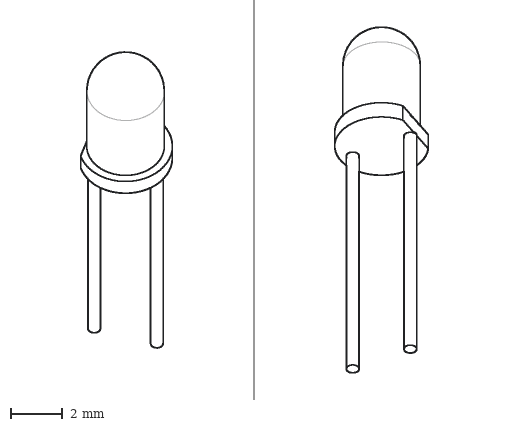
import cadquery as cq

total_height = 15.97
lens_diameter = 3.0
flange_diameter = 3.63
flange_thickness = 0.7
flat_offset = 1.5
lead_diameter = 0.5
lead_pitch = 2.54
flange_base = 10.51
lead_seat_depth = 0.05

lens_radius = lens_diameter / 2
flange_radius = flange_diameter / 2
lead_length = flange_base + lead_seat_depth
dome_base = total_height - lens_radius


def make_lens():
    """Dome-topped cylinder on a flange, revolved about Z, with a flat on the -X side."""
    flange_top = flange_base + flange_thickness
    dome_mid = lens_radius * 0.5 ** 0.5
    body = (
        cq.Workplane("XZ")
        .moveTo(0, flange_base)
        .lineTo(flange_radius, flange_base)
        .lineTo(flange_radius, flange_top)
        .lineTo(lens_radius, flange_top)
        .lineTo(lens_radius, dome_base)
        .threePointArc((dome_mid, dome_base + dome_mid), (0, total_height))
        .close()
        .revolve(360, (0, 0, 0), (0, 1, 0))
    )
    beyond_flat = (
        cq.Workplane("XY", origin=(-flat_offset, 0, flange_base))
        .box(flange_diameter, flange_diameter, flange_thickness, centered=(False, True, False))
        .translate((-flange_diameter, 0, 0))
    )
    return body.cut(beyond_flat)


def make_lead(x):
    """Straight round lead that ends in a shallow seat in the flange."""
    return cq.Workplane("XY", origin=(x, 0, 0)).circle(lead_diameter / 2).extrude(lead_length)


leads = [make_lead(side * lead_pitch / 2) for side in (-1, 1)]

lens = make_lens()
for lead in leads:
    lens = lens.cut(lead)

result = cq.Compound.makeCompound([*lens.vals(), *[lead.val() for lead in leads]])